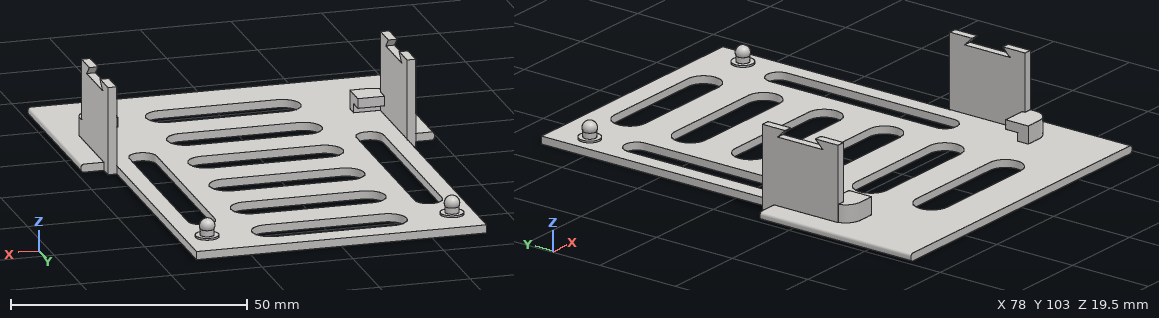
import cadquery as cq

LENGTH = 103.0
BODY_WIDTH = 64.0
FOOT_WIDTH = 78.0
FOOT_LENGTH = 40.0
THICKNESS = 1.9
FOOT_EDGE_RADIUS = 0.7

CROSS_SLOT_LENGTH = 34.0
CROSS_SLOT_WIDTH = 8.0
CROSS_SLOT_COUNT = 6
CROSS_SLOT_PITCH = 16.0
FIRST_CROSS_SLOT_Y = 14.0

SIDE_SLOT_LENGTH = 50.0
SIDE_SLOT_WIDTH = 6.0
SIDE_SLOT_X = 25.0
SIDE_SLOT_Y = 61.0

WALL_THICKNESS = 2.0
WALL_LENGTH = 20.0
WALL_FRONT_Y = 23.1
WALL_TOP = 19.5
WALL_INNER_X = BODY_WIDTH / 2
WALL_OUTER_X = WALL_INNER_X + WALL_THICKNESS

NOTCH_DEPTH = 2.0
NOTCH_TOP_WIDTH = 8.0
NOTCH_BOTTOM_WIDTH = NOTCH_TOP_WIDTH + 2 * NOTCH_DEPTH

CLIP_WIDTH = 7.8
CLIP_LENGTH = 6.0
CLIP_HEIGHT = 4.1
CLIP_CORNER_RADIUS = 4.0
LEFT_CLIP_FRONT_Y = 20.1
RIGHT_CLIP_FRONT_Y = 17.8
UNDERCUT_LENGTH = 3.1
UNDERCUT_HEIGHT = 2.0

PIN_X = 27.0
PIN_Y = 93.9
PIN_HEIGHT = 4.1
PIN_DIAMETER = 3.0
BALL_DIAMETER = 3.3
COLLAR_DIAMETER = 5.0
COLLAR_HEIGHT = 0.4

LEFT = -1
RIGHT = 1


def box(x_start, x_end, y_start, y_end, z_start, z_end):
    """Box between two opposite corners; the X ends may come in either order."""
    size = (abs(x_end - x_start), y_end - y_start, z_end - z_start)
    return cq.Workplane("XY").box(*size, centered=False).translate((min(x_start, x_end), y_start, z_start))


def make_foot():
    """Wide front part of the plate, with its long side edges rounded top and bottom."""
    foot = box(-FOOT_WIDTH / 2, FOOT_WIDTH / 2, 0, FOOT_LENGTH, 0, THICKNESS)
    return foot.edges("|Y").fillet(FOOT_EDGE_RADIUS)


def make_plate():
    """Flat plate with all of its slots cut through."""
    body = box(-BODY_WIDTH / 2, BODY_WIDTH / 2, 0, LENGTH, 0, THICKNESS)
    cross_slot_centres = [
        (0, FIRST_CROSS_SLOT_Y + index * CROSS_SLOT_PITCH) for index in range(CROSS_SLOT_COUNT)
    ]
    side_slot_centres = [(side * SIDE_SLOT_X, SIDE_SLOT_Y) for side in (LEFT, RIGHT)]
    cross_slots = (
        cq.Workplane("XY")
        .pushPoints(cross_slot_centres)
        .slot2D(CROSS_SLOT_LENGTH, CROSS_SLOT_WIDTH)
        .extrude(THICKNESS)
    )
    side_slots = (
        cq.Workplane("XY")
        .pushPoints(side_slot_centres)
        .slot2D(SIDE_SLOT_LENGTH, SIDE_SLOT_WIDTH, 90)
        .extrude(THICKNESS)
    )
    return body.union(make_foot()).cut(cross_slots).cut(side_slots)


def make_wall(side):
    """Upright wall from the underside up, with a dovetail notch in its top edge."""
    wall = box(
        side * WALL_INNER_X, side * WALL_OUTER_X,
        WALL_FRONT_Y, WALL_FRONT_Y + WALL_LENGTH,
        0, WALL_TOP,
    )
    middle_y = WALL_FRONT_Y + WALL_LENGTH / 2
    notch_floor = WALL_TOP - NOTCH_DEPTH
    notch = (
        cq.Workplane("YZ")
        .polyline([
            (middle_y - NOTCH_BOTTOM_WIDTH / 2, notch_floor),
            (middle_y + NOTCH_BOTTOM_WIDTH / 2, notch_floor),
            (middle_y + NOTCH_TOP_WIDTH / 2, WALL_TOP),
            (middle_y - NOTCH_TOP_WIDTH / 2, WALL_TOP),
        ])
        .close()
        .extrude(WALL_OUTER_X, both=True)
    )
    return wall.cut(notch)


def make_clip(side, front_y):
    """Block with a rounded outer front corner, undercut at the rear on the inside of the wall."""
    inner_x = side * (WALL_OUTER_X - CLIP_WIDTH)
    rear_y = front_y + CLIP_LENGTH
    block = box(inner_x, side * WALL_OUTER_X, front_y, rear_y, THICKNESS, THICKNESS + CLIP_HEIGHT)
    outer_front_edge = "|Z and <Y and " + ("<X" if side == LEFT else ">X")
    block = block.edges(outer_front_edge).fillet(CLIP_CORNER_RADIUS)
    undercut = box(
        inner_x, side * WALL_INNER_X,
        rear_y - UNDERCUT_LENGTH, rear_y,
        THICKNESS, THICKNESS + UNDERCUT_HEIGHT,
    )
    return block.cut(undercut)


def make_pin(side):
    """Pin on a thin round collar, ending in a slightly larger ball."""
    ball_height = PIN_HEIGHT - BALL_DIAMETER / 2
    collar = cq.Workplane("XY").circle(COLLAR_DIAMETER / 2).extrude(COLLAR_HEIGHT)
    shank = cq.Workplane("XY").circle(PIN_DIAMETER / 2).extrude(ball_height)
    ball = cq.Workplane("XY").sphere(BALL_DIAMETER / 2).translate((0, 0, ball_height))
    return collar.union(shank).union(ball).translate((side * PIN_X, PIN_Y, THICKNESS))


result = make_plate()
for hand, clip_front_y in ((LEFT, LEFT_CLIP_FRONT_Y), (RIGHT, RIGHT_CLIP_FRONT_Y)):
    result = result.union(make_wall(hand))
    result = result.union(make_clip(hand, clip_front_y))
    result = result.union(make_pin(hand))